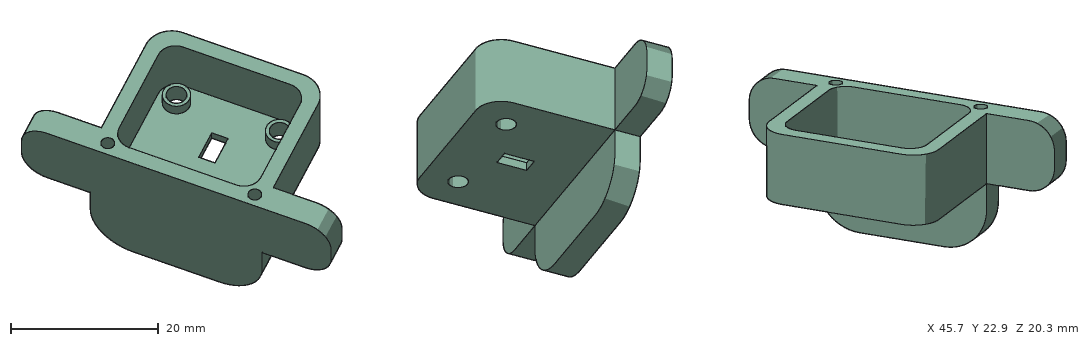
import cadquery as cq

PLATE_WIDTH = 45.72
PLATE_THICKNESS = 3.81
WING_CORNER_RADIUS = 3.81

TAB_DROP = 10.16
TAB_CORNER_RADIUS = 6.35

BOX_WIDTH = 25.4
BOX_DEPTH = 22.86
BOX_HEIGHT = 10.16
BOX_CORNER_RADIUS = 3.81

WALL = 2.23
FLOOR = 1.27
POCKET_CORNER_RADIUS = 2.54

BOSS_SPACING = 15.24
BOSS_Y = 17.72
BOSS_DIAMETER = 3.86
BOSS_HEIGHT = 1.73
BOSS_HOLE_DIAMETER = 2.8

SLOT_WIDTH = 2.4
SLOT_LENGTH = 4.45
SLOT_Y = 12.7

PIN_HOLE_SPACING = 21.72
PIN_HOLE_Y = 1.75
PIN_HOLE_DIAMETER = 1.85
PIN_HOLE_DEPTH = 5.08


def block(width, y_start, y_end, z_start, z_end):
    """Box centred on X = 0 that spans the given Y and Z ranges."""
    return (
        cq.Workplane("XY")
        .box(width, y_end - y_start, z_end - z_start, centered=(True, False, False))
        .translate((0, y_start, z_start))
    )


def mirrored_cylinders(spacing, y, diameter, z_start, z_end):
    """Pair of vertical cylinders placed symmetrically about X = 0."""
    return (
        cq.Workplane("XY", origin=(0, y, z_start))
        .pushPoints([(-spacing / 2, 0), (spacing / 2, 0)])
        .circle(diameter / 2)
        .extrude(z_end - z_start)
    )


def make_front_plate():
    """Rounded wings with a narrower rounded tab hanging below them."""
    wings = block(PLATE_WIDTH, 0, PLATE_THICKNESS, 0, BOX_HEIGHT)
    wings = wings.edges("|Y").fillet(WING_CORNER_RADIUS)
    tab = block(BOX_WIDTH, 0, PLATE_THICKNESS, -TAB_DROP, BOX_HEIGHT)
    tab = tab.edges("|Y and <Z").fillet(TAB_CORNER_RADIUS)
    return wings.union(tab)


def make_box():
    """Solid box behind the plate with its rear vertical corners rounded."""
    return block(BOX_WIDTH, 0, BOX_DEPTH, 0, BOX_HEIGHT).edges("|Z and >Y").fillet(BOX_CORNER_RADIUS)


def make_pocket():
    """Cavity open at the top, with equal walls and rounded vertical corners."""
    pocket = block(BOX_WIDTH - 2 * WALL, WALL, BOX_DEPTH - WALL, FLOOR, BOX_HEIGHT)
    return pocket.edges("|Z").fillet(POCKET_CORNER_RADIUS)


boss_top = FLOOR + BOSS_HEIGHT
bosses = mirrored_cylinders(BOSS_SPACING, BOSS_Y, BOSS_DIAMETER, 0, boss_top)
boss_holes = mirrored_cylinders(BOSS_SPACING, BOSS_Y, BOSS_HOLE_DIAMETER, 0, boss_top)

slot = block(SLOT_WIDTH, SLOT_Y - SLOT_LENGTH / 2, SLOT_Y + SLOT_LENGTH / 2, 0, FLOOR)

pin_holes = mirrored_cylinders(
    PIN_HOLE_SPACING, PIN_HOLE_Y, PIN_HOLE_DIAMETER, BOX_HEIGHT - PIN_HOLE_DEPTH, BOX_HEIGHT
)

shell = make_front_plate().union(make_box()).cut(make_pocket())
result = shell.union(bosses).cut(boss_holes).cut(slot).cut(pin_holes).solids()